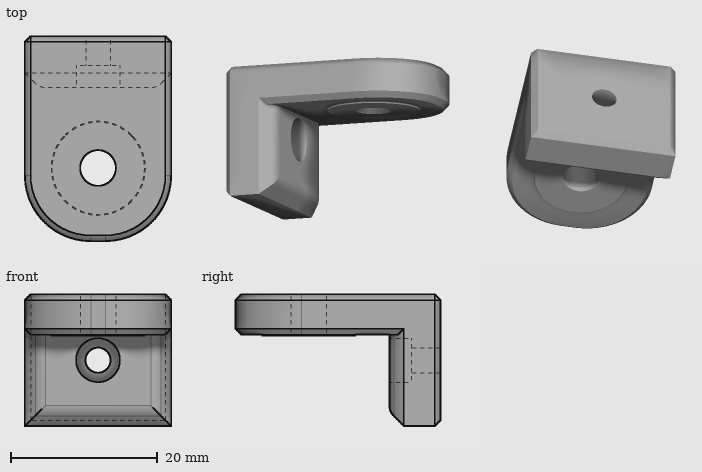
import cadquery as cq

WIDTH = 20.0
LENGTH = 28.0
HEIGHT = 18.0
EDGE_CHAMFER = 0.8

PLATE_THICKNESS = 5.5
FRONT_RADIUS = 9.0

PIVOT_SETBACK = 10.0
PIVOT_HOLE_DIAMETER = 4.85
PAD_BASE_DIAMETER = 12.85
PAD_FACE_DIAMETER = 12.6
PAD_HEIGHT = 0.2

SLAB_THICKNESS = 5.0
PANEL_HEIGHT = 2.0
PANEL_EDGE_RADIUS = 2.0

SCREW_HEIGHT = HEIGHT / 2
SCREW_HOLE_DIAMETER = 3.4
SCREW_HEAD_DIAMETER = 6.0
SCREW_HEAD_DEPTH = 3.0

HALF_WIDTH = WIDTH / 2
BACK_Y = LENGTH / 2
FRONT_Y = -LENGTH / 2
PIVOT_Y = FRONT_Y + PIVOT_SETBACK
PLATE_BOTTOM_Z = HEIGHT - PLATE_THICKNESS
SLAB_FRONT_Y = BACK_Y - SLAB_THICKNESS
PANEL_FRONT_Y = SLAB_FRONT_Y - PANEL_HEIGHT


def make_plate():
    """Plate in front of the slab: rounded front corners, chamfered above and below."""
    plate_length = LENGTH - SLAB_THICKNESS
    plate = (
        cq.Workplane("XY", origin=(0, FRONT_Y, PLATE_BOTTOM_Z))
        .box(WIDTH, plate_length, PLATE_THICKNESS, centered=(True, False, False))
        .edges("|Z and <Y")
        .fillet(FRONT_RADIUS)
    )
    return plate.faces("<Z or >Z").edges("not >Y").chamfer(EDGE_CHAMFER)


def make_slab():
    """Full-height slab of the leg, chamfered around its back face and along its top sides."""
    slab = cq.Workplane("XY", origin=(0, SLAB_FRONT_Y, 0)).box(
        WIDTH, SLAB_THICKNESS, HEIGHT, centered=(True, False, False)
    )
    return slab.edges(">Y or (|Y and >Z)").chamfer(EDGE_CHAMFER)


def make_panel():
    """Raised panel on the slab: 45 degree bevels blended into a flat front face."""
    panel_top = HEIGHT - EDGE_CHAMFER
    across = (
        cq.Workplane("XY")
        .moveTo(-HALF_WIDTH, SLAB_FRONT_Y)
        .lineTo(-HALF_WIDTH + PANEL_HEIGHT, PANEL_FRONT_Y)
        .lineTo(HALF_WIDTH - PANEL_HEIGHT, PANEL_FRONT_Y)
        .lineTo(HALF_WIDTH, SLAB_FRONT_Y)
        .close()
        .extrude(panel_top)
        .edges("|Z and <Y")
        .fillet(PANEL_EDGE_RADIUS)
    )
    upward = (
        cq.Workplane("YZ")
        .moveTo(SLAB_FRONT_Y, 0)
        .lineTo(PANEL_FRONT_Y, PANEL_HEIGHT)
        .lineTo(PANEL_FRONT_Y, panel_top)
        .lineTo(SLAB_FRONT_Y, panel_top)
        .close()
        .extrude(HALF_WIDTH, both=True)
        .edges("|X and <Y")
        .edges("<Z")
        .fillet(PANEL_EDGE_RADIUS)
    )
    return across.intersect(upward)


def make_pad():
    """Low round pad with a tapered rim on the underside of the plate."""
    return (
        cq.Workplane("XY", origin=(0, PIVOT_Y, PLATE_BOTTOM_Z))
        .circle(PAD_BASE_DIAMETER / 2)
        .workplane(offset=-PAD_HEIGHT)
        .circle(PAD_FACE_DIAMETER / 2)
        .loft(ruled=True)
    )


def make_pivot_hole():
    """Vertical cutter through the plate and pad."""
    return cq.Workplane("XY", origin=(0, PIVOT_Y, 0)).circle(PIVOT_HOLE_DIAMETER / 2).extrude(HEIGHT)


def make_screw_hole():
    """Cutter through the leg along Y, counterbored from the front of the panel."""
    front = cq.Workplane("XZ", origin=(0, PANEL_FRONT_Y, SCREW_HEIGHT))
    shank = front.circle(SCREW_HOLE_DIAMETER / 2).extrude(-(SLAB_THICKNESS + PANEL_HEIGHT))
    head = front.circle(SCREW_HEAD_DIAMETER / 2).extrude(-SCREW_HEAD_DEPTH)
    return shank.union(head)


body = make_slab().union(make_plate()).union(make_panel()).union(make_pad()).clean()
result = body.cut(make_pivot_hole()).cut(make_screw_hole())